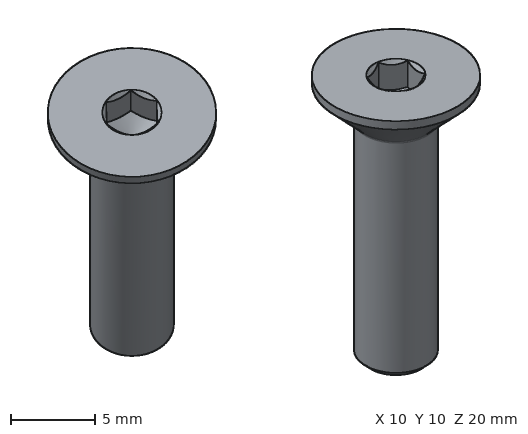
import cadquery as cq
import math

total_length = 20.0
head_radius = 5.0
rim_height = 0.6
shank_radius = 2.5
neck_fillet = 0.2
tip_chamfer = 0.5

socket_flats = 3.0
socket_mouth_radius = 1.75
socket_depth = 1.9
drill_cone_angle = 120.0
drill_flat_radius = 0.25


def revolved(profile):
    """Revolve a closed radius-height profile about the Z axis."""
    return cq.Workplane("XZ").polyline(profile).close().revolve(360, (0, 0, 0), (0, 1, 0))


def make_body():
    rim_bottom = total_length - rim_height
    neck_height = rim_bottom - (head_radius - shank_radius)
    body = revolved([
        (0, 0),
        (shank_radius - tip_chamfer, 0),
        (shank_radius, tip_chamfer),
        (shank_radius, neck_height),
        (head_radius, rim_bottom),
        (head_radius, total_length),
        (0, total_length),
    ])
    neck_edge = cq.selectors.BoxSelector(
        (-head_radius, -head_radius, neck_height - neck_fillet),
        (head_radius, head_radius, neck_height + neck_fillet),
        boundingbox=True,
    )
    return body.edges(neck_edge).fillet(neck_fillet)


def make_socket():
    corner_radius = socket_flats / (2 * math.cos(math.pi / 6))
    cone_top = total_length - socket_depth
    cone_depth = (corner_radius - drill_flat_radius) / math.tan(math.radians(drill_cone_angle / 2))
    cone_bottom = cone_top - cone_depth

    hex_prism = (
        cq.Workplane("XY", origin=(0, 0, cone_bottom))
        .polygon(6, 2 * corner_radius)
        .extrude(total_length - cone_bottom)
    )
    drill = revolved([
        (0, cone_bottom),
        (drill_flat_radius, cone_bottom),
        (corner_radius, cone_top),
        (socket_mouth_radius, cone_top),
        (socket_mouth_radius, total_length),
        (0, total_length),
    ])
    lead_in = revolved([
        (0, total_length - socket_mouth_radius),
        (socket_mouth_radius, total_length),
        (0, total_length),
    ])
    return hex_prism.intersect(drill).union(lead_in)


result = make_body().cut(make_socket())